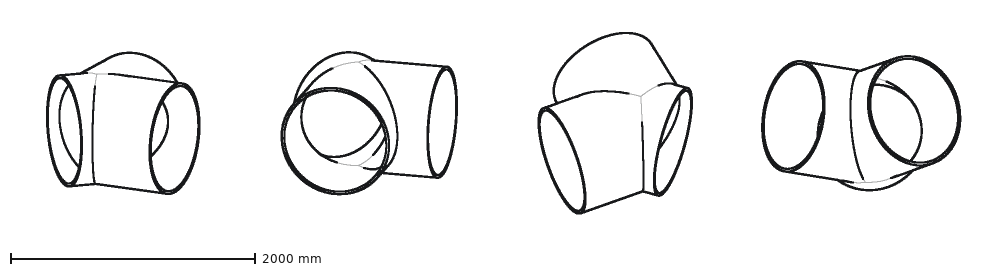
import cadquery as cq
import math

outer_diameter = 914.0
inner_diameter = 867.0
span_x = 1652.0
inlet_length = 280.0
inlet_angle = -90.0
branch_angle = 45.0

outer_radius = outer_diameter / 2
branch_slope = math.radians(branch_angle)
branch_length = (span_x / 2 - outer_radius * math.sin(branch_slope)) / math.cos(branch_slope)
mitre_angle = (inlet_angle + branch_angle) / 2
sector_reach = 2 * span_x


def polar_point(angle, distance):
    return (distance * math.cos(math.radians(angle)), distance * math.sin(math.radians(angle)))


def pipe(direction, length):
    """Tube running both ways past the axis crossing, ready for mitring."""
    x, y = polar_point(direction, 1)
    start = (-x * length - x * outer_diameter, -y * length - y * outer_diameter, 0)
    plane = cq.Plane(origin=start, xDir=(0, 0, 1), normal=(x, y, 0))
    return (
        cq.Workplane(plane)
        .circle(outer_radius)
        .circle(inner_diameter / 2)
        .extrude(2 * length + outer_diameter)
    )


def sector(first_angle, last_angle):
    """Wedge around the Z axis between two mitre planes."""
    middle_angle = (first_angle + last_angle) / 2
    corners = [polar_point(angle, sector_reach) for angle in (first_angle, middle_angle, last_angle)]
    return (
        cq.Workplane("XY")
        .polyline([(0, 0)] + corners)
        .close()
        .extrude(outer_diameter, both=True)
    )


inlet = pipe(inlet_angle, inlet_length).intersect(sector(-180 - mitre_angle, mitre_angle))
right_branch = pipe(branch_angle, branch_length).intersect(sector(mitre_angle, 90))
left_branch = right_branch.mirror("YZ")

result = inlet.union(right_branch).union(left_branch)